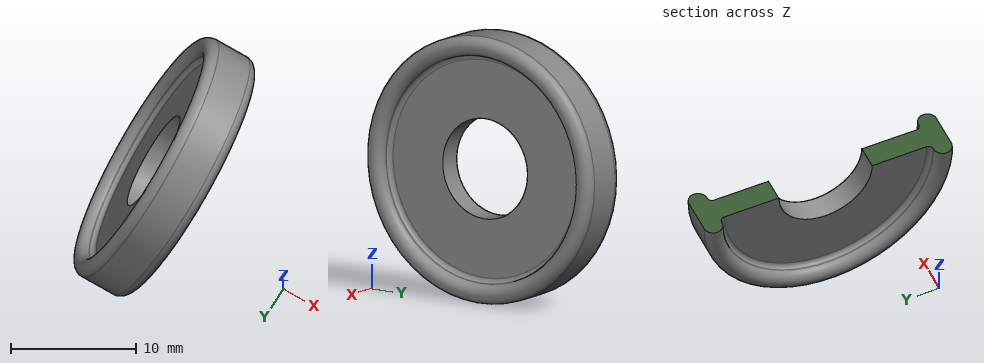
import cadquery as cq
import math

outer_diameter = 21.8
width = 4.5
bore_diameter = 8.2
recess_diameter = 18.6
recess_depth = 1.25
floor_fillet = 0.4

outer_radius = outer_diameter / 2
bore_radius = bore_diameter / 2
recess_radius = recess_diameter / 2
floor_radius = recess_radius - floor_fillet
half_width = width / 2
half_web = half_width - recess_depth

rim_round = (outer_radius - recess_radius) / 2
rim_middle = outer_radius - rim_round
round_start = half_width - rim_round

fillet_mid_radius = floor_radius + floor_fillet * math.sin(math.pi / 4)
fillet_mid_x = half_web + floor_fillet * (1 - math.cos(math.pi / 4))

section = (
    cq.Workplane("XY")
    .moveTo(-half_web, bore_radius)
    .lineTo(-half_web, floor_radius)
    .threePointArc((-fillet_mid_x, fillet_mid_radius), (-half_web - floor_fillet, recess_radius))
    .lineTo(-round_start, recess_radius)
    .threePointArc((-half_width, rim_middle), (-round_start, outer_radius))
    .lineTo(round_start, outer_radius)
    .threePointArc((half_width, rim_middle), (round_start, recess_radius))
    .lineTo(half_web + floor_fillet, recess_radius)
    .threePointArc((fillet_mid_x, fillet_mid_radius), (half_web, floor_radius))
    .lineTo(half_web, bore_radius)
    .close()
)

result = section.revolve(360, (0, 0, 0), (1, 0, 0))